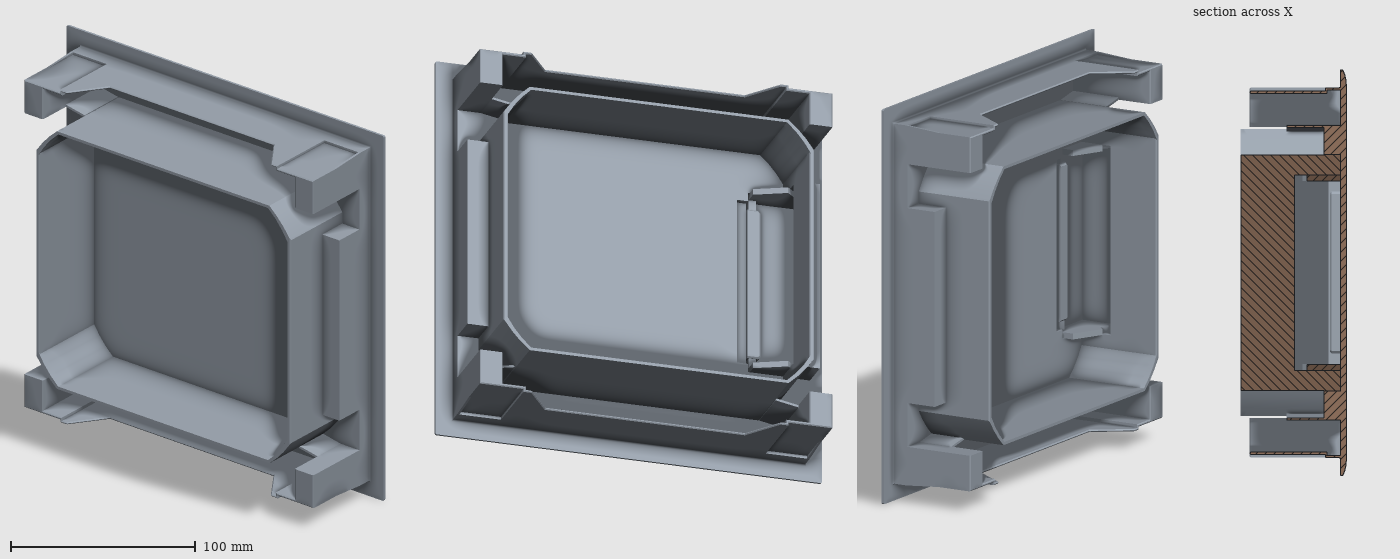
import cadquery as cq
import math


plate_size = 220.0
plate_half = plate_size / 2
plate_depth = 3.3
plate_crown_drop = 2.0
plate_crown_radius = 17.5
plate_corner_radius = 0.9

tub_depth = 57.2
tub_half_x = 88.5
tub_half_z = 77.7
tub_corner_x = 73.7
tub_corner_z = 61.2
tub_side_wall = 2.6
tub_end_wall = 1.65
tub_inner_corner_x = 72.8
tub_inner_corner_z = 60.5
tub_floor_depth = 9.7
tub_rim_chamfer = 0.7

frame_half = 100.3
frame_size = 2 * frame_half
frame_depth = 52.4
frame_edge_chamfer = 0.55
root_fillet = 0.9
end_wall_inner = frame_half - 1.3
post_inner = 87.3
post_half_z = 78.8
rail_half_length = 54.3
rail_depth = 29.7
notch_depth = 12.3
cutout_depth = 32.3
cutout_half_top = 56.8
cutout_half_mouth = 70.8
selection_margin = 0.2

pad_inner_edge = 75.5
pad_start_depth = 11.7
pad_top = frame_half - 1.65
pad_thickness = 1.65
pad_skin = 1.3
arm_depth = 32.3
arm_thickness = 1.3
arm_end_x = 74.4
arm_end_z = 76.3

slot_start = 59.6
slot_half_length = 48.0
slot_depth = 6.2
pocket_start = 66.0
pocket_end = 97.2
window_depth = 28.2

flap_half_length = 52.8
bar_end = 73.5
bar_depth = 8.8
bar_half_length = 43.8
bar_corner_chamfer = 1.3
bar_edge_chamfer = 0.9
link_start = 66.9
link_end = 71.0
link_depth = 7.7
lever_thickness = 3.3
lever_tip_depth = 15.6
lever_shoulder = (84.3, -23.8)
lever_neck = (88.7, -19.4)
lever_end_depth = 27.3


def block(x_range, depth_range, z_range):
    """Box between two X values, two depths and two Z values."""
    x0, x1 = x_range
    d0, d1 = depth_range
    z0, z1 = z_range
    return cq.Workplane("XY").box(x1 - x0, d1 - d0, z1 - z0, centered=False).translate((x0, -d1, z0))


def prism(points, start_depth, end_depth):
    """Polygon of (X, Z) points extruded between two depths."""
    sketch = cq.Workplane("XZ", origin=(0, -start_depth, 0)).polyline(points).close()
    return sketch.extrude(end_depth - start_depth)


def four_corners(shape):
    """The shape and its mirror images across the YZ and XY planes."""
    pair = shape.union(shape.mirror("YZ"))
    return pair.union(pair.mirror("XY"))


def tub_prism(half_x, half_z, corner_x, corner_z, start_depth):
    """Rectangle with cut, slightly bulged corners, extruded down to the tub rim."""
    corner_bulge = 0.9
    chord_angle = math.atan2(half_z - corner_z, half_x - corner_x)
    mid_x = (half_x + corner_x) / 2 + corner_bulge * math.sin(chord_angle)
    mid_z = (half_z + corner_z) / 2 + corner_bulge * math.cos(chord_angle)
    outline = (
        cq.Workplane("XZ", origin=(0, -start_depth, 0))
        .moveTo(-corner_x, half_z)
        .lineTo(corner_x, half_z)
        .threePointArc((mid_x, mid_z), (half_x, corner_z))
        .lineTo(half_x, -corner_z)
        .threePointArc((mid_x, -mid_z), (corner_x, -half_z))
        .lineTo(-corner_x, -half_z)
        .threePointArc((-mid_x, -mid_z), (-half_x, -corner_z))
        .lineTo(-half_x, corner_z)
        .threePointArc((-mid_x, mid_z), (-corner_x, half_z))
        .close()
    )
    return outline.extrude(tub_depth - start_depth)


def tub_envelope():
    """Outer shape of the tub, solid, from the plate to the rim."""
    return tub_prism(tub_half_x, tub_half_z, tub_corner_x, tub_corner_z, plate_depth)


def flap_pocket():
    """Space for the flap, running through the tub wall into the frame rail."""
    z_range = (-flap_half_length, flap_half_length)
    return block((pocket_start, pocket_end), (plate_depth, window_depth), z_range)


def make_plate():
    """Square plate whose outer face curves down along all four edges."""
    crown_angle = math.acos(1 - plate_crown_drop / plate_crown_radius)
    flat_half = plate_half - plate_crown_radius * math.sin(crown_angle)
    mid_x = flat_half + plate_crown_radius * math.sin(crown_angle / 2)
    mid_y = -plate_crown_radius * (1 - math.cos(crown_angle / 2))
    crowned = (
        cq.Workplane("XY", origin=(0, 0, -plate_half))
        .moveTo(-plate_half, -plate_depth)
        .lineTo(plate_half, -plate_depth)
        .lineTo(plate_half, -plate_crown_drop)
        .threePointArc((mid_x, mid_y), (flat_half, 0))
        .lineTo(-flat_half, 0)
        .threePointArc((-mid_x, mid_y), (-plate_half, -plate_crown_drop))
        .close()
        .extrude(plate_size)
    )
    outline = cq.Workplane("XZ").rect(plate_size, plate_size).extrude(plate_depth)
    outline = outline.edges("|Y").fillet(plate_corner_radius)
    return outline.intersect(crowned).intersect(crowned.rotate((0, 0, 0), (0, 1, 0), 90))


def make_walls():
    """Plate with the four frame walls and a fillet at their root."""
    walls = block((-frame_half, frame_half), (plate_depth, frame_depth), (-frame_half, frame_half))
    reach = frame_half + selection_margin
    root_edges = cq.selectors.BoxSelector(
        (-reach, -plate_depth - selection_margin, -reach), (reach, -plate_depth + selection_margin, reach)
    )
    walls = make_plate().union(walls).edges(root_edges).fillet(root_fillet)
    inside = block((-post_inner, post_inner), (plate_depth, frame_depth), (-end_wall_inner, end_wall_inner))
    return walls.cut(inside)


def end_wall_cutout():
    """Trapezoid that is cut out of the free edge of both end walls."""
    outline = [
        (-cutout_half_top, -cutout_depth),
        (cutout_half_top, -cutout_depth),
        (cutout_half_mouth, -frame_depth),
        (-cutout_half_mouth, -frame_depth),
    ]
    return cq.Workplane("XY", origin=(0, 0, -frame_half)).polyline(outline).close().extrude(frame_size)


def cut_side_walls(frame):
    """Leaves a low rail in the middle of each side wall and a deeper notch beside each corner post."""
    above_rail = block((-frame_half, frame_half), (rail_depth, frame_depth), (-post_half_z, post_half_z))
    notch = block((post_inner, frame_half), (notch_depth, frame_depth), (rail_half_length, post_half_z))
    return frame.cut(above_rail).cut(four_corners(notch))


def chamfer_free_edges(frame):
    """Breaks the edges of the end wall cutouts and of the post and wall ends, except beside the notches."""
    cutout_edges = cq.selectors.BoxSelector(
        (-cutout_half_mouth, -frame_depth + selection_margin, -frame_half - selection_margin),
        (cutout_half_mouth, -cutout_depth + selection_margin, frame_half + selection_margin),
    )
    notch_edges = cq.selectors.BoxSelector(
        (-frame_half, -frame_depth - selection_margin, -post_half_z - selection_margin),
        (frame_half, -frame_depth + selection_margin, post_half_z + selection_margin),
    )
    end_edges = frame.faces("<Y").edges(cq.selectors.InverseSelector(notch_edges))
    return end_edges.add(frame.edges(cutout_edges).edges("not |Z")).chamfer(frame_edge_chamfer)


def add_pads(frame):
    """Stepped-down pad at each corner, with a ramped skin left along the outer side."""
    plate = block(
        (pad_inner_edge - pad_skin, post_inner),
        (pad_start_depth - pad_skin, frame_depth),
        (pad_top - pad_thickness, end_wall_inner),
    ).cut(end_wall_cutout())
    recess = block((pad_inner_edge, frame_half), (pad_start_depth, frame_depth), (pad_top, frame_half))
    ramp = (
        cq.Workplane("YZ", origin=(frame_half - pad_skin, 0, 0))
        .polyline([(-pad_start_depth, pad_top), (-pad_start_depth, frame_half), (-arm_depth, pad_top)])
        .close()
        .extrude(pad_skin)
    )
    return frame.union(four_corners(plate)).cut(four_corners(recess)).union(four_corners(ramp))


def add_arms(frame):
    """Slanted arms from the posts to the tub corners, and the notch floors up to the tub."""
    arm_foot = (post_inner, post_half_z)
    arm_end = (arm_end_x, arm_end_z)
    arm_top = [(arm_end_x, arm_end_z + arm_thickness), (post_inner, post_half_z + arm_thickness)]
    arm = prism([arm_foot, arm_end, *arm_top], plate_depth, arm_depth)
    floor_corner = (arm_end_x, tub_corner_z)
    floor_side = (post_inner, tub_corner_z)
    notch_floor = prism([floor_side, floor_corner, *arm_top], plate_depth, notch_depth)
    return frame.union(four_corners(arm.union(notch_floor)))


def make_frame():
    frame = cut_side_walls(make_walls().cut(end_wall_cutout()))
    frame = add_pads(frame)
    frame = chamfer_free_edges(frame)
    frame = add_arms(frame)
    return frame.cut(tub_envelope()).cut(flap_pocket())


def make_tub():
    """Open tub with a floor, a chamfered rim on both sides, and a finger slot beside the flap pocket."""
    cavity = tub_prism(
        tub_half_x - tub_side_wall,
        tub_half_z - tub_end_wall,
        tub_inner_corner_x,
        tub_inner_corner_z,
        tub_floor_depth,
    )
    slot_z = (-slot_half_length, slot_half_length)
    slot = block((slot_start, pocket_start), (slot_depth, tub_floor_depth), slot_z)
    shell = tub_envelope().cut(cavity).faces("<Y").edges("|Z").chamfer(tub_rim_chamfer)
    return shell.cut(slot).cut(flap_pocket())


def make_flap():
    """Bar across the pocket, linked at both ends to a lever that runs into the frame rail."""
    bar = block((pocket_start, bar_end), (plate_depth, bar_depth), (-bar_half_length, bar_half_length))
    bar = bar.edges("|Y and >X").chamfer(bar_corner_chamfer)
    bar = bar.faces("<Y").edges("not <X").chamfer(bar_edge_chamfer)
    links = block((link_start, link_end), (plate_depth, link_depth), (-flap_half_length, flap_half_length))
    lever_outline = [
        (link_start, -plate_depth),
        (link_start, -lever_tip_depth),
        lever_shoulder,
        lever_neck,
        (pocket_end, -lever_end_depth),
        (pocket_end, -plate_depth),
    ]
    lever = (
        cq.Workplane("XY", origin=(0, 0, flap_half_length - lever_thickness))
        .polyline(lever_outline)
        .close()
        .extrude(lever_thickness)
    )
    return bar.union(links).union(lever).union(lever.mirror("XY"))


frame = make_frame()
tub = make_tub()
flap = make_flap()
result = cq.Compound.makeCompound([frame.val(), tub.val(), flap.val()])